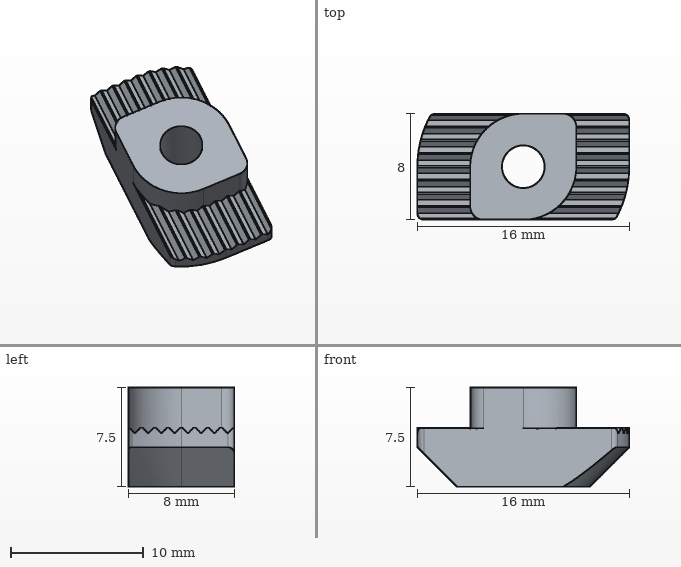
import cadquery as cq

length = 16.0
width = 8.0
height = 7.5
flange_height = 4.48
foot_length = 10.0
flange_corner_radius = 0.5
boss_corner_radius = 1.0
hole_diameter = 3.2
tooth_count = 8
crest_width = 0.13
edge_land_drop = 0.06

half_length = length / 2
half_width = width / 2
half_foot = foot_length / 2
bevel_height = half_length - half_foot
tooth_pitch = width / tooth_count
groove_width = tooth_pitch - crest_width
groove_depth = groove_width / 2
edge_land_width = crest_width / 2 + edge_land_drop


def swept_quarters(tapered_disc, tapered_bar):
    """Disc in the two turning quadrants, straight bar in the other two."""
    size = 2 * length
    quadrant = cq.Workplane("XY").box(size, size, size, centered=(False, False, True))
    straight = quadrant.union(quadrant.rotate((0, 0, 0), (0, 0, 1), 180))
    return tapered_bar.intersect(straight).union(tapered_disc.cut(straight))


def make_flange():
    """T-slot flange, with flat bevels on two ends and conical ones on the turning corners."""
    profile = [
        (0, 0),
        (half_foot, 0),
        (half_length, bevel_height),
        (half_length, flange_height),
        (0, flange_height),
    ]
    half_bar = cq.Workplane("XZ").polyline(profile).close().extrude(half_width, both=True)
    bar = half_bar.union(half_bar.mirror("YZ"))
    disc = cq.Workplane("XZ").polyline(profile).close().revolve(360, (0, 0), (0, 1))
    slab = cq.Workplane("XY").box(length, width, flange_height, centered=(True, True, False))
    body = swept_quarters(disc.intersect(slab), bar)
    return body.intersect(make_rounded_blank())


def make_rounded_blank():
    """Plan outline of the flange as a prism, with all four corners rounded."""
    arc_end = (half_length**2 - half_width**2) ** 0.5
    return (
        cq.Workplane("XY")
        .moveTo(half_length, 0)
        .lineTo(half_length, half_width)
        .lineTo(-arc_end, half_width)
        .radiusArc((-half_length, 0), -half_length)
        .lineTo(-half_length, -half_width)
        .lineTo(arc_end, -half_width)
        .radiusArc((half_length, 0), -half_length)
        .close()
        .extrude(flange_height)
        .edges("|Z and (>Y or <Y)")
        .fillet(flange_corner_radius)
    )


def cut_grooves(body):
    """V grooves along X, leaving a narrow crest on every tooth."""
    for index in range(tooth_count):
        centre = -half_width + (index + 0.5) * tooth_pitch
        groove = (
            cq.Workplane("YZ")
            .moveTo(centre - groove_width / 2, flange_height)
            .lineTo(centre, flange_height - groove_depth)
            .lineTo(centre + groove_width / 2, flange_height)
            .close()
            .extrude(half_length, both=True)
        )
        body = body.cut(groove)
    return body


def cut_edge_lands(body):
    """Lower the outermost half teeth to a narrow flat along both sides."""
    for side in (-1, 1):
        land = cq.Workplane("XY", origin=(0, side * half_width, flange_height))
        body = body.cut(land.box(length, 2 * edge_land_width, 2 * edge_land_drop))
    return body


def make_boss():
    """Square boss with two quarter-circle turning corners and two small rounded ones."""
    base = flange_height - groove_depth
    return (
        cq.Workplane("XY", origin=(0, 0, base))
        .moveTo(half_width, 0)
        .lineTo(half_width, half_width)
        .lineTo(0, half_width)
        .radiusArc((-half_width, 0), -half_width)
        .lineTo(-half_width, -half_width)
        .lineTo(0, -half_width)
        .radiusArc((half_width, 0), -half_width)
        .close()
        .extrude(height - base)
        .edges("|Z and (>(1, 1, 0) or <(1, 1, 0))")
        .fillet(boss_corner_radius)
    )


hole = cq.Workplane("XY").circle(hole_diameter / 2).extrude(height)
flange = cut_edge_lands(cut_grooves(make_flange()))
result = flange.union(make_boss()).cut(hole)